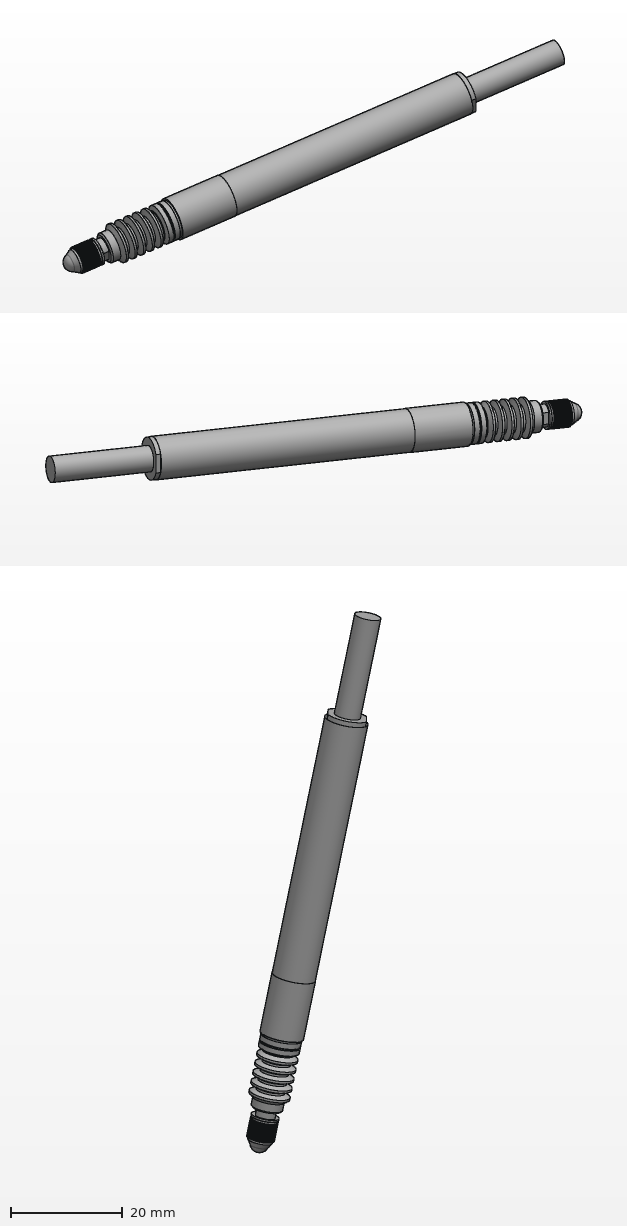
import cadquery as cq
import math


overall_length = 101.6
ball_seat = 1.2
nose_front = 2.15
knurl_front = 2.6
knurl_back = 6.1
rim_front = 6.5
rim_back = 6.9
boot_front = 8.2
boot_front_collar_back = 10.0
boot_back_collar_front = 19.3
boot_back = 22.2
nut_back = 33.3
end_cap_front = 81.85
housing_back = 82.75

ball_diameter = 3.5
holder_nose_diameter = 4.5
holder_diameter = 5.1
rim_gap_diameter = 4.7
stem_diameter = 4.2
boot_front_diameter = 5.8
boot_diameter = 7.5
boot_groove_diameter = 6.9
fold_root_diameter = 5.2
nut_diameter = 8.0
housing_diameter = 7.9
end_cap_diameter = 7.8
cable_diameter = 4.8

fold_count = 5
fold_pitch = 1.78
first_fold = 10.9
fold_crest_width = 0.45
fold_root_width = 0.4

boot_front_chamfer = 0.3
boot_groove_position = 20.6
boot_groove_width = 0.3
boot_back_chamfer = 0.4
boot_rim_width = 0.4
boot_rim_step = 0.08
stem_flat_width = 3.6
end_cap_flat_width = 7.0
knurl_count = 54
knurl_depth = 0.12


def ball_point(y):
    """Point (radius, y) on the ball surface at height y above the tip."""
    return (math.sqrt(y * (ball_diameter - y)), y)


def bellows_points():
    """Trapezoidal folds of the boot, front to back, as (radius, y)."""
    crest = boot_diameter / 2
    root = fold_root_diameter / 2
    half_crest = fold_crest_width / 2
    half_root = fold_root_width / 2
    points = []
    for index in range(fold_count):
        centre = first_fold + index * fold_pitch
        points.append((crest, centre - half_crest))
        points.append((crest, centre + half_crest))
        if index < fold_count - 1:
            valley = centre + fold_pitch / 2
            points.append((root, valley - half_root))
            points.append((root, valley + half_root))
    return points


def make_body():
    """Revolved probe, including ball, holder, boot, nut, housing and cable."""
    holder_nose = holder_nose_diameter / 2
    holder = holder_diameter / 2
    gap = rim_gap_diameter / 2
    stem = stem_diameter / 2
    boot_nose = boot_front_diameter / 2
    boot = boot_diameter / 2
    groove = boot_groove_diameter / 2
    nut = nut_diameter / 2
    housing = housing_diameter / 2
    end_cap = end_cap_diameter / 2
    cable = cable_diameter / 2
    half_groove = boot_groove_width / 2

    points = [
        (holder_nose, nose_front),
        (holder_nose, knurl_front),
        (holder, knurl_front),
        (holder, knurl_back),
        (gap, knurl_back),
        (gap, rim_front),
        (holder, rim_front),
        (holder, rim_back),
        (stem, rim_back),
        (stem, boot_front),
        (boot_nose - boot_front_chamfer, boot_front),
        (boot_nose, boot_front + boot_front_chamfer),
        (boot_nose, boot_front_collar_back),
    ]
    points += bellows_points()
    points += [
        (boot_nose, boot_back_collar_front - boot_back_chamfer),
        (boot_nose, boot_back_collar_front - boot_back_chamfer / 2),
        (boot, boot_back_collar_front + boot_back_chamfer / 2),
        (boot, boot_groove_position - half_groove),
        (groove, boot_groove_position - half_groove),
        (groove, boot_groove_position + half_groove),
        (boot, boot_groove_position + half_groove),
        (boot, boot_back - boot_rim_width),
        (boot - boot_rim_step, boot_back - boot_rim_width),
        (boot - boot_rim_step, boot_back),
        (nut, boot_back),
        (nut, nut_back),
        (housing, nut_back),
        (housing, end_cap_front),
        (end_cap, end_cap_front),
        (end_cap, housing_back),
        (cable, housing_back),
        (cable, overall_length),
        (0, overall_length),
    ]
    outline = cq.Workplane("XY").moveTo(0, 0)
    outline = outline.threePointArc(ball_point(ball_seat / 4), ball_point(ball_seat))
    for point in points:
        outline = outline.lineTo(*point)
    return outline.close().revolve(360, (0, 0), (0, 1))


def flats_cutter(width, y_start, y_end):
    """Two blocks that leave flats facing -X and +X at the given width."""
    length = y_end - y_start
    block = nut_diameter
    offset = (width + block) / 2
    return (
        cq.Workplane("XY")
        .pushPoints([(-offset, 0), (offset, 0)])
        .box(block, length, block)
        .translate((0, (y_start + y_end) / 2, 0))
    )


def knurl_cutter():
    """Ring of V grooves running lengthwise along the tip holder."""
    outer = holder_diameter / 2
    root = outer - knurl_depth
    step = 2 * math.pi / knurl_count
    star = []
    for index in range(knurl_count):
        angle = index * step
        star.append((outer * math.cos(angle), outer * math.sin(angle)))
        angle += step / 2
        star.append((root * math.cos(angle), root * math.sin(angle)))
    length = knurl_back - knurl_front
    toothed = cq.Workplane("XZ").polyline(star).close().extrude(-length)
    blank = cq.Workplane("XZ").circle(holder_diameter).extrude(-length)
    return blank.cut(toothed).translate((0, knurl_front, 0))


body = make_body()
body = body.cut(flats_cutter(stem_flat_width, rim_back, boot_front))
body = body.cut(flats_cutter(end_cap_flat_width, end_cap_front, housing_back))
result = body.cut(knurl_cutter())